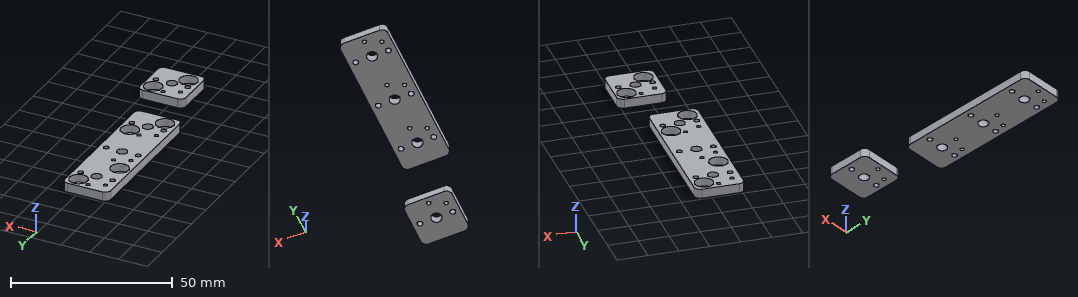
import cadquery as cq

TOTAL_LENGTH = 78.9
CELL = 16.0
THICKNESS = 3.2
CORNER_RADIUS = 2.0
STATION_PITCH = 17.5
STATION_COUNT = 3
SQUARE_PLATE_SHIFT = 5.75

CENTER_HOLE_DIAMETER = 3.4
SIDE_HOLE_DIAMETER = 1.7
SIDE_HOLE_OFFSET = 5.5
PIN_HOLE_DIAMETER = 1.3
PIN_HOLE_POINTS = [(0, 5.9), (-5.0, 3.8)]

POCKET_DIAMETER = 6.0
POCKET_DEPTH = 2.75

TOP_STATION_POCKETS = [(4.2, 4.1), (-4.1, -7.65)]
BOTTOM_STATION_POCKETS = [(4.1, 4.2), (-3.8, -4.25)]
SQUARE_PLATE_POCKETS = [(4.25, 4.3), (-3.8, -3.95)]

LONG_PLATE_LENGTH = CELL + (STATION_COUNT - 1) * STATION_PITCH
TOP_STATION_Y = (STATION_COUNT - 1) * STATION_PITCH / 2
SQUARE_PLATE_Y = LONG_PLATE_LENGTH / 2 - TOTAL_LENGTH + CELL / 2


def shifted(points, center):
    """Move points given from a station center into plate coordinates."""
    return [(x + center[0], y + center[1]) for x, y in points]


def cut_through_holes(plate, points, diameter):
    drills = cq.Workplane("XY").pushPoints(points).circle(diameter / 2).extrude(THICKNESS)
    return plate.cut(drills)


def cut_station(plate, center):
    """Cut the center hole, the two side holes and the two pin holes."""
    side_points = [(-SIDE_HOLE_OFFSET, 0), (SIDE_HOLE_OFFSET, 0)]
    plate = cut_through_holes(plate, [center], CENTER_HOLE_DIAMETER)
    plate = cut_through_holes(plate, shifted(side_points, center), SIDE_HOLE_DIAMETER)
    return cut_through_holes(plate, shifted(PIN_HOLE_POINTS, center), PIN_HOLE_DIAMETER)


def cut_pockets(plate, points):
    """Sink blind round pockets from the top face."""
    floor_z = THICKNESS - POCKET_DEPTH
    pockets = (
        cq.Workplane("XY", origin=(0, 0, floor_z))
        .pushPoints(points)
        .circle(POCKET_DIAMETER / 2)
        .extrude(POCKET_DEPTH)
    )
    return plate.cut(pockets)


def rounded_plate(length):
    """Flat plate standing on Z = 0 with rounded vertical corners."""
    plate = cq.Workplane("XY").box(CELL, length, THICKNESS, centered=(True, True, False))
    return plate.edges("|Z").fillet(CORNER_RADIUS)


def make_long_plate():
    plate = rounded_plate(LONG_PLATE_LENGTH)
    for index in range(STATION_COUNT):
        plate = cut_station(plate, (0, TOP_STATION_Y - index * STATION_PITCH))
    plate = cut_pockets(plate, shifted(TOP_STATION_POCKETS, (0, TOP_STATION_Y)))
    return cut_pockets(plate, shifted(BOTTOM_STATION_POCKETS, (0, -TOP_STATION_Y)))


def make_square_plate():
    plate = cut_station(rounded_plate(CELL), (0, 0))
    plate = cut_pockets(plate, SQUARE_PLATE_POCKETS)
    return plate.translate((SQUARE_PLATE_SHIFT, SQUARE_PLATE_Y, 0))


long_plate = make_long_plate()
square_plate = make_square_plate()

result = cq.Compound.makeCompound([long_plate.solids().val(), square_plate.solids().val()])